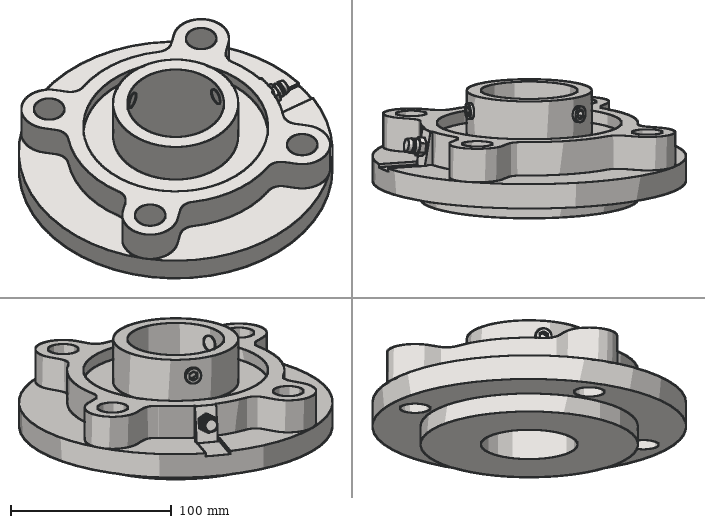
import cadquery as cq
import math


flange_diameter = 195.0
pilot_diameter = 135.0
pilot_height = 11.7
flange_top = 27.0
hub_top = 48.1
recess_diameter = 114.8
recess_depth = 7.8

bolt_circle_radius = 80.1
bolt_hole_diameter = 19.0
lug_radius = flange_diameter / 2 - bolt_circle_radius
lug_fillet = 9.4
corner_tolerance = 0.2
lug_angles = [45, 135, 225, 315]

ring_top = 68.6
ring_diameter = 77.8
bore_diameter = 60.0

screw_diameter = 10.0
screw_height = 58.0
screw_tip_radius = bore_diameter / 2 + 0.2
screw_head_radius = ring_diameter / 2 + 2.0
socket_across_flats = 5.0
socket_depth = 3.9
screw_angles = [90, 210]

fitting_tilt = 10.0
seat_width = 13.6
seat_top_y = 68.5
relief_width = 15.8
relief_start_y = 71.7
relief_depth = 2.0
relief_floor = flange_top - relief_depth
fitting_height = 37.5
hex_across_flats = 10.1
hex_start = 0.4
hex_length = 4.0
fitting_length = 11.7
fitting_radius = 4.58
fitting_end_radius = 3.9
groove_radius = 4.0
groove_start = 7.0
groove_bottom = 8.2
groove_end = 8.8
embed_depth = 2.0

hex_turn = 30


def turn_about_z(body, angle):
    return body.rotate((0, 0, 0), (0, 0, 1), angle)


def cylinder(diameter, bottom, top):
    return cq.Workplane("XY").workplane(offset=bottom).circle(diameter / 2).extrude(top - bottom)


def hexagon_diameter(across_flats):
    return across_flats / math.cos(math.radians(30))


def make_hub():
    """Round hub with four straight-sided lugs, blended by vertical fillets."""
    height = hub_top - flange_top
    hub = cylinder(pilot_diameter, flange_top, hub_top)
    for angle in lug_angles:
        lug = (
            cq.Workplane("XY")
            .workplane(offset=flange_top)
            .center(bolt_circle_radius / 2, 0)
            .rect(bolt_circle_radius, 2 * lug_radius)
            .extrude(height)
            .union(cylinder(2 * lug_radius, flange_top, hub_top).translate((bolt_circle_radius, 0, 0)))
        )
        hub = hub.union(turn_about_z(lug, angle))

    inside_edges = [
        edge for edge in hub.edges("|Z").vals()
        if abs(math.hypot(edge.Center().x, edge.Center().y) - pilot_diameter / 2) < corner_tolerance
    ]
    return hub.newObject(inside_edges).fillet(lug_fillet)


def seat_face_y(height):
    """Y of the sloping seat face at a given height."""
    return seat_top_y + (hub_top - height) * math.tan(math.radians(fitting_tilt))


def make_seat():
    """Flat boss on the +Y side whose face is square to the tilted fitting."""
    foot_y = seat_face_y(relief_floor)
    inner_y = recess_diameter / 2 + embed_depth
    return (
        cq.Workplane("YZ")
        .moveTo(inner_y, relief_floor)
        .lineTo(foot_y, relief_floor)
        .lineTo(seat_top_y, hub_top)
        .lineTo(inner_y, hub_top)
        .close()
        .extrude(seat_width / 2, both=True)
    )


def make_relief():
    """Shallow slot in the flange top, from beside the seat out to the rim."""
    length = flange_diameter / 2 - relief_start_y
    return (
        cq.Workplane("XY")
        .box(relief_width, length, relief_depth, centered=(True, False, False))
        .translate((0, relief_start_y, relief_floor))
    )


def make_fitting():
    """Grease nipple built along Z, then tilted onto the seat."""
    profile = [
        (0, -embed_depth),
        (fitting_end_radius, -embed_depth),
        (fitting_end_radius, hex_start + hex_length),
        (fitting_radius, hex_start + hex_length),
        (fitting_radius, groove_start),
        (groove_radius, groove_bottom),
        (fitting_radius, groove_end),
        (fitting_end_radius, fitting_length),
        (0, fitting_length),
    ]
    body = cq.Workplane("XZ").polyline(profile).close().revolve(360, (0, 0, 0), (0, 1, 0))
    nut = (
        cq.Workplane("XY")
        .workplane(offset=hex_start)
        .polygon(6, hexagon_diameter(hex_across_flats))
        .extrude(hex_length)
    )
    return (
        body.union(turn_about_z(nut, hex_turn))
        .rotate((0, 0, 0), (1, 0, 0), fitting_tilt - 90)
        .translate((0, seat_face_y(fitting_height), fitting_height))
    )


def radial_cylinder(start, end):
    """Screw-sized cylinder along +X between two distances from the bore axis."""
    return (
        cq.Workplane("YZ", origin=(start, 0, screw_height))
        .circle(screw_diameter / 2)
        .extrude(end - start)
    )


def add_set_screw(part, angle):
    socket = (
        cq.Workplane("YZ", origin=(screw_head_radius, 0, screw_height))
        .transformed(rotate=(0, 0, hex_turn))
        .polygon(6, hexagon_diameter(socket_across_flats))
        .extrude(-socket_depth)
    )
    hole = turn_about_z(radial_cylinder(0, screw_head_radius), angle)
    screw = radial_cylinder(screw_tip_radius, screw_head_radius).cut(socket)
    return part.cut(hole).union(turn_about_z(screw, angle))


flange = cylinder(pilot_diameter, 0, pilot_height).union(cylinder(flange_diameter, pilot_height, flange_top))
housing = flange.cut(make_relief()).union(make_hub()).union(make_seat())
housing = housing.cut(cylinder(recess_diameter, hub_top - recess_depth, hub_top))
for angle in lug_angles:
    bolt_hole = cylinder(bolt_hole_diameter, 0, hub_top).translate((bolt_circle_radius, 0, 0))
    housing = housing.cut(turn_about_z(bolt_hole, angle))
housing = housing.union(make_fitting())

result = housing.union(cylinder(ring_diameter, 0, ring_top)).cut(cylinder(bore_diameter, 0, ring_top))
for angle in screw_angles:
    result = add_set_screw(result, angle)